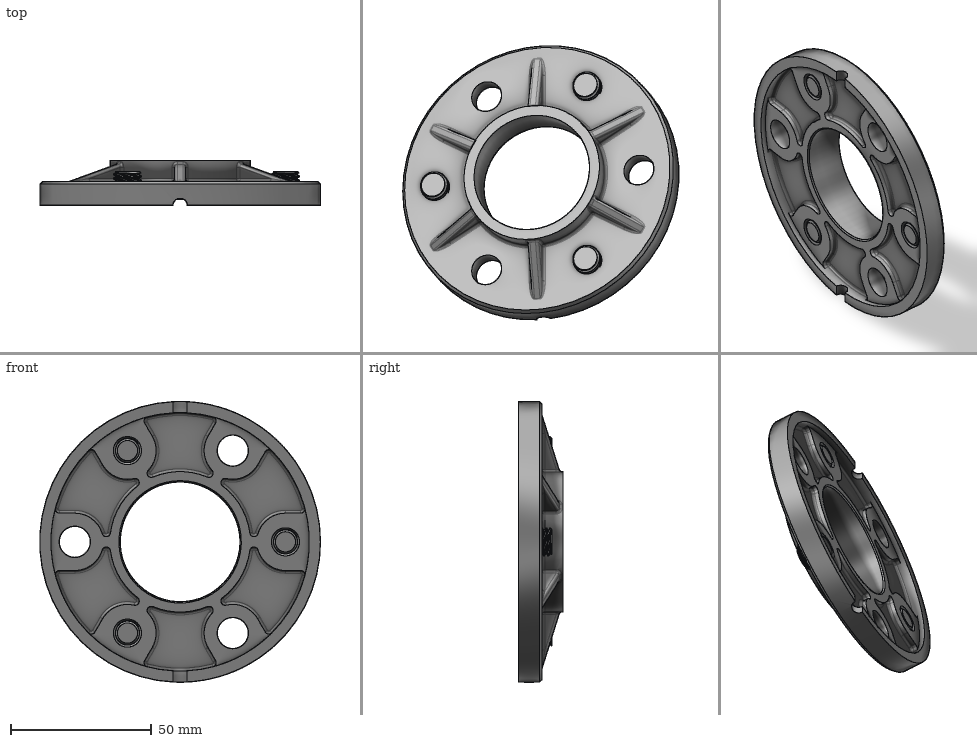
import cadquery as cq
import math

FLANGE_RADIUS = 50.0
FLANGE_THICKNESS = 8.5
FLANGE_CHAMFER = 1.0
TOTAL_DEPTH = 16.0
HUB_RADIUS = 25.0
BORE_RADIUS = 21.3
BORE_CHAMFER = 0.5
ROOT_FILLET = 1.0

RIM_WIDTH = 4.0
RECESS_RADIUS = FLANGE_RADIUS - RIM_WIDTH
RECESS_DEPTH = 2.0
POCKET_DEPTH = 2.5
POCKET_CORNER_RADIUS = 1.5
POCKET_FLOOR_FILLET = 1.0
BOSS_RADIUS = 10.2
NOTCH_RADIUS = 2.5

BOLT_CIRCLE_RADIUS = 37.5
POSITION_COUNT = 6
POSITION_STEP = 360.0 / POSITION_COUNT
SCREW_ANGLES = [index * POSITION_STEP for index in range(0, POSITION_COUNT, 2)]
HOLE_ANGLES = [index * POSITION_STEP for index in range(1, POSITION_COUNT, 2)]
HOLE_RADIUS = 5.5

RIB_WIDTH = 4.0
RIB_EDGE_FILLET = 1.0
RIB_TOP_AT_HUB = 14.8
RIB_END_RADIUS = 45.0
RIB_EMBED = 1.0

SCREW_LENGTH = 10.0
SCREW_START = RECESS_DEPTH
THREAD_MAJOR_RADIUS = 5.0
THREAD_MINOR_RADIUS = 4.25
THREAD_PITCH = 1.5
THREAD_CREST_PHASE = 11.04
CREST_WIDTH = THREAD_PITCH / 8
ROOT_WIDTH = THREAD_PITCH * 4 / 5
THREAD_EMBED = 0.1
TIP_RADIUS = 3.6
END_RADIUS = 4.35

EDGE_MARGIN = 0.1


def polar(radius, angle):
    """Point in the X-Z plane at an angle in degrees from +X toward +Z."""
    return radius * math.cos(math.radians(angle)), radius * math.sin(math.radians(angle))


def toward(start, target, distance):
    """Point at a distance from start on the line to target."""
    length = math.dist(start, target)
    return tuple(s + (t - s) * distance / length for s, t in zip(start, target))


def arc_middle(center, start, end):
    """Middle of the shorter arc about center from start to end."""
    chord_middle = tuple((a + b) / 2 for a, b in zip(start, end))
    return toward(center, chord_middle, math.dist(center, start))


def face_plane(depth):
    """Plane parallel to the open face; an outline on it keeps X and Z, and extrudes inward as negative."""
    return cq.Plane(origin=(0, depth, 0), xDir=(1, 0, 0), normal=(0, -1, 0))


def turn(body, angle):
    """Turn a body about the Y axis, from +X toward +Z."""
    return body.rotate((0, 0, 0), (0, 1, 0), -angle)


def disc(radius, start, end, center=(0.0, 0.0)):
    """Cylinder along Y from start to end, centered on an X-Z point."""
    plane = cq.Plane(origin=(center[0], start, center[1]), xDir=(1, 0, 0), normal=(0, 1, 0))
    return cq.Workplane(plane).circle(radius).extrude(end - start)


def cone(large_radius, small_radius, start, center=(0.0, 0.0)):
    """45 degree cone along Y that narrows from start toward +Y."""
    solid = cq.Solid.makeCone(
        large_radius,
        small_radius,
        large_radius - small_radius,
        cq.Vector(center[0], start, center[1]),
        cq.Vector(0, 1, 0),
    )
    return cq.Workplane(solid)


def make_rib():
    """Sloping rib along +X, with rounded top edges."""
    slope = (RIB_TOP_AT_HUB - FLANGE_THICKNESS) / (RIB_END_RADIUS - HUB_RADIUS)
    inner_radius = (BORE_RADIUS + HUB_RADIUS) / 2
    base = FLANGE_THICKNESS - RIB_EMBED
    tip_radius = RIB_END_RADIUS + RIB_EMBED / slope
    rib = (
        cq.Workplane("XY")
        .polyline([
            (inner_radius, base),
            (tip_radius, base),
            (inner_radius, RIB_TOP_AT_HUB + slope * (HUB_RADIUS - inner_radius)),
        ])
        .close()
        .extrude(RIB_WIDTH / 2, both=True)
    )
    return rib.edges("#Z and (not |X) and (not |Y)").fillet(RIB_EDGE_FILLET)


def make_pocket():
    """Pocket between the bosses at 0 and at one position step, with a rounded floor edge."""
    middle = POSITION_STEP / 2
    boss = (BOLT_CIRCLE_RADIUS, 0.0)

    ring_reach = HUB_RADIUS + POCKET_CORNER_RADIUS
    boss_reach = BOSS_RADIUS + POCKET_CORNER_RADIUS
    inner_x = (ring_reach**2 - boss_reach**2 + BOLT_CIRCLE_RADIUS**2) / (2 * BOLT_CIRCLE_RADIUS)
    inner_center = (inner_x, math.sqrt(ring_reach**2 - inner_x**2))
    ring_touch = toward((0, 0), inner_center, HUB_RADIUS)
    boss_touch = toward(boss, inner_center, BOSS_RADIUS)
    inner_round_middle = arc_middle(inner_center, ring_touch, boss_touch)

    boss_side = (BOLT_CIRCLE_RADIUS, BOSS_RADIUS)
    boss_arc_middle = arc_middle(boss, boss_touch, boss_side)

    outer_reach = RECESS_RADIUS - POCKET_CORNER_RADIUS
    outer_center = (math.sqrt(outer_reach**2 - boss_reach**2), boss_reach)
    side_end = (outer_center[0], BOSS_RADIUS)
    rim_touch = toward((0, 0), outer_center, RECESS_RADIUS)
    outer_round_middle = arc_middle(outer_center, side_end, rim_touch)

    def mirrored(point):
        """Mirror a point about the pocket's center line."""
        angle = math.degrees(math.atan2(point[1], point[0]))
        return polar(math.hypot(*point), 2 * middle - angle)

    return (
        cq.Workplane(face_plane(RECESS_DEPTH))
        .moveTo(*ring_touch)
        .threePointArc(inner_round_middle, boss_touch)
        .threePointArc(boss_arc_middle, boss_side)
        .lineTo(*side_end)
        .threePointArc(outer_round_middle, rim_touch)
        .threePointArc(polar(RECESS_RADIUS, middle), mirrored(rim_touch))
        .threePointArc(mirrored(outer_round_middle), mirrored(side_end))
        .lineTo(*mirrored(boss_side))
        .threePointArc(mirrored(boss_arc_middle), mirrored(boss_touch))
        .threePointArc(mirrored(inner_round_middle), mirrored(ring_touch))
        .threePointArc(polar(HUB_RADIUS, middle), ring_touch)
        .close()
        .extrude(-POCKET_DEPTH)
        .faces(">Y")
        .edges()
        .fillet(POCKET_FLOOR_FILLET)
    )


def make_cavity_sector():
    """One sixth of the round recess in the open face, together with its pocket."""
    recess = (
        cq.Workplane(face_plane(0))
        .lineTo(RECESS_RADIUS, 0)
        .threePointArc(polar(RECESS_RADIUS, POSITION_STEP / 2), polar(RECESS_RADIUS, POSITION_STEP))
        .close()
        .extrude(-RECESS_DEPTH)
    )
    return recess.union(make_pocket())


def make_screw():
    """Set screw on the Y axis, with a helical thread and chamfered ends."""
    end = SCREW_START + SCREW_LENGTH
    tip_chamfer = THREAD_MAJOR_RADIUS - TIP_RADIUS
    end_chamfer = THREAD_MAJOR_RADIUS - END_RADIUS
    envelope = (
        disc(THREAD_MAJOR_RADIUS, SCREW_START, end)
        .faces("<Y").chamfer(tip_chamfer)
        .faces(">Y").chamfer(end_chamfer)
    )
    core = disc(THREAD_MINOR_RADIUS, SCREW_START - THREAD_PITCH, end + THREAD_PITCH)

    turns = math.ceil(SCREW_LENGTH / THREAD_PITCH) + 2
    ridge_start = THREAD_CREST_PHASE - (turns - 1) * THREAD_PITCH
    helix = cq.Wire.makeHelix(THREAD_PITCH, turns * THREAD_PITCH, THREAD_MINOR_RADIUS)
    root_radius = THREAD_MINOR_RADIUS - THREAD_EMBED
    ridge_radius = THREAD_MAJOR_RADIUS + THREAD_EMBED
    ridge = (
        cq.Workplane("XZ")
        .polyline([
            (root_radius, -ROOT_WIDTH / 2),
            (ridge_radius, -CREST_WIDTH / 2),
            (ridge_radius, CREST_WIDTH / 2),
            (root_radius, ROOT_WIDTH / 2),
        ])
        .close()
        .sweep(cq.Workplane(helix), isFrenet=True)
        .rotate((0, 0, 0), (0, 0, 1), 180)
        .rotate((0, 0, 0), (1, 0, 0), -90)
        .translate((0, ridge_start, 0))
    )
    return core.union(ridge).intersect(envelope)


def place_screw(screw, angle):
    """Move the screw to its position without turning it about its own axis."""
    x, z = polar(BOLT_CIRCLE_RADIUS, angle)
    return screw.translate((x, 0, z))


def is_root_edge(edge):
    """True for edges where hub, ribs and plate meet, but not for the rib edges away from them."""
    center = edge.Center()
    on_plate = abs(center.y - FLANGE_THICKNESS) < EDGE_MARGIN
    on_hub = all(
        abs(math.hypot(edge.positionAt(t).x, edge.positionAt(t).z) - HUB_RADIUS) < EDGE_MARGIN
        for t in (0.0, 0.5, 1.0)
    )
    return on_hub or (on_plate and edge.geomType() == "LINE" and edge.Length() > RIB_WIDTH)


def make_flange(screw_shape):
    """Recessed plate with its hub, ribs, pockets, through holes and threaded holes."""
    plate = disc(FLANGE_RADIUS, 0, FLANGE_THICKNESS).faces(">Y").chamfer(FLANGE_CHAMFER)
    flange = plate.union(disc(HUB_RADIUS, 0, TOTAL_DEPTH))
    rib = make_rib()
    for index in range(POSITION_COUNT):
        flange = flange.union(turn(rib, (index + 0.5) * POSITION_STEP))
    above_plate = cq.selectors.BoxSelector(
        (-FLANGE_RADIUS, FLANGE_THICKNESS - EDGE_MARGIN, -FLANGE_RADIUS),
        (FLANGE_RADIUS, TOTAL_DEPTH - EDGE_MARGIN, FLANGE_RADIUS),
    )
    flange = flange.edges(above_plate).filter(is_root_edge).fillet(ROOT_FILLET)

    flange = flange.cut(disc(BORE_RADIUS, 0, TOTAL_DEPTH))
    cavity_sector = make_cavity_sector()
    for index in range(POSITION_COUNT):
        flange = flange.cut(turn(cavity_sector, index * POSITION_STEP))
    flange = flange.cut(cone(BORE_RADIUS + BORE_CHAMFER, BORE_RADIUS, RECESS_DEPTH))

    notch = cq.Workplane("XY").circle(NOTCH_RADIUS).extrude(FLANGE_RADIUS, both=True)
    flange = flange.cut(notch.cut(disc(RECESS_RADIUS, -NOTCH_RADIUS, NOTCH_RADIUS)))

    for angle in HOLE_ANGLES:
        center = polar(BOLT_CIRCLE_RADIUS, angle)
        flange = flange.cut(disc(HOLE_RADIUS, 0, FLANGE_THICKNESS, center))

    for angle in SCREW_ANGLES:
        center = polar(BOLT_CIRCLE_RADIUS, angle)
        flange = flange.cut(disc(THREAD_MINOR_RADIUS, 0, FLANGE_THICKNESS, center))
        flange = flange.cut(cone(THREAD_MAJOR_RADIUS, THREAD_MINOR_RADIUS, RECESS_DEPTH, center))
        flange = flange.cut(place_screw(screw_shape, angle))
    return flange


screw = make_screw()
flange = make_flange(screw)
screws = [place_screw(screw, angle) for angle in SCREW_ANGLES]
result = cq.Compound.makeCompound([flange.val(), *[placed.val() for placed in screws]])